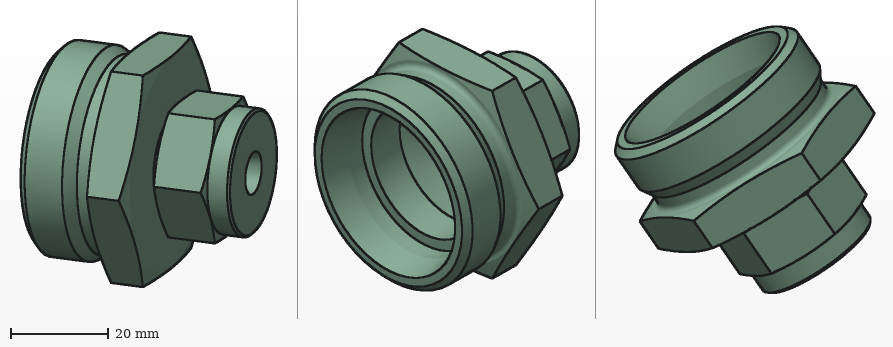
import cadquery as cq
import math


collar_corner_diameter = 53.1
nut_across_flats = 27.0
hex_chamfer_angle = 15.0
collar_face_radius = 22.85
nut_face_radius = 13.4

collar_start = 16.0
collar_end = 25.0
nut_start = 26.8
nut_end = 38.35
total_length = 43.2

thread_radius = 22.5
thread_chamfer = 1.55
thread_end = 9.85
groove_radius = 21.0
groove_start = 12.5
groove_fillet = 1.3

neck_radius = 10.0
sleeve_radius = 13.4
sleeve_chamfer = 0.5

mouth_radius = 19.0
socket_radius = 17.55
mouth_taper_length = 6.45
socket_depth = 10.5
chamber_radius = 15.0
chamber_depth = 18.95
through_radius = 4.5
funnel_half_angle = 60.0

collar_across_flats = collar_corner_diameter * math.cos(math.radians(30))


def chamfered_hex(x_start, x_end, across_flats, face_radius):
    """Hexagonal prism along X, its corners turned off by a cone at both ends."""
    length = x_end - x_start
    corner_diameter = across_flats / math.cos(math.radians(30))
    corner_radius = corner_diameter / 2
    setback = (corner_radius - face_radius) * math.tan(math.radians(hex_chamfer_angle))
    prism = cq.Workplane("YZ", origin=(x_start, 0, 0)).polygon(6, corner_diameter).extrude(length)
    envelope = (
        cq.Workplane("XY")
        .moveTo(x_start, 0)
        .lineTo(x_start, face_radius)
        .lineTo(x_start + setback, corner_radius)
        .lineTo(x_end - setback, corner_radius)
        .lineTo(x_end, face_radius)
        .lineTo(x_end, 0)
        .close()
        .revolve(360, (0, 0, 0), (1, 0, 0))
    )
    return prism.intersect(envelope)


def turned_body():
    """Threaded end with its runout groove, the neck and the chamfered sleeve."""
    fillet_start = collar_start - groove_fillet
    fillet_middle = groove_fillet * math.sqrt(0.5)
    return (
        cq.Workplane("XY")
        .lineTo(0, thread_radius - thread_chamfer)
        .lineTo(thread_chamfer, thread_radius)
        .lineTo(thread_end, thread_radius)
        .lineTo(groove_start, groove_radius)
        .lineTo(fillet_start, groove_radius)
        .threePointArc(
            (fillet_start + fillet_middle, groove_radius + groove_fillet - fillet_middle),
            (collar_start, groove_radius + groove_fillet),
        )
        .lineTo(collar_start, neck_radius)
        .lineTo(nut_end, neck_radius)
        .lineTo(nut_end, sleeve_radius)
        .lineTo(total_length - sleeve_chamfer, sleeve_radius)
        .lineTo(total_length, sleeve_radius - sleeve_chamfer)
        .lineTo(total_length, 0)
        .close()
        .revolve(360, (0, 0, 0), (1, 0, 0))
    )


def bore():
    """Tapered mouth, socket, chamber and funnel leading to the through hole."""
    funnel_length = (chamber_radius - through_radius) / math.tan(math.radians(funnel_half_angle))
    return (
        cq.Workplane("XY")
        .lineTo(0, mouth_radius)
        .lineTo(mouth_taper_length, socket_radius)
        .lineTo(socket_depth, socket_radius)
        .lineTo(socket_depth, chamber_radius)
        .lineTo(chamber_depth, chamber_radius)
        .lineTo(chamber_depth + funnel_length, through_radius)
        .lineTo(total_length, through_radius)
        .lineTo(total_length, 0)
        .close()
        .revolve(360, (0, 0, 0), (1, 0, 0))
    )


collar = chamfered_hex(collar_start, collar_end, collar_across_flats, collar_face_radius)
nut = chamfered_hex(nut_start, nut_end, nut_across_flats, nut_face_radius)

result = turned_body().union(collar).union(nut).cut(bore())